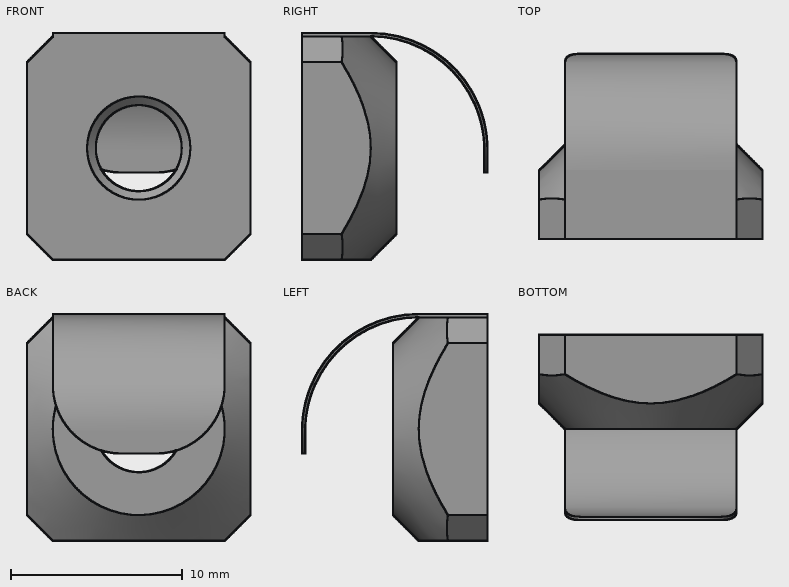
import cadquery as cq

body_size = 13.0
body_depth = 5.5
corner_chamfer = 1.5
back_cone_radius = 5.0

hole_diameter = 5.0
countersink_diameter = 6.0

strip_thickness = 0.2
strip_width = body_size - 2 * corner_chamfer
strip_reach = 10.8
strip_drop = 8.13
bend_radius = 6.8
tip_corner_radius = 4.0


def make_body():
    """Square block with chamfered corners, turned to a cone at the back."""
    block = (
        cq.Workplane("XZ")
        .rect(body_size, body_size)
        .extrude(-body_depth)
        .edges("|Y")
        .chamfer(corner_chamfer)
    )
    front_cone_radius = back_cone_radius + body_depth
    cone = (
        cq.Workplane("XY")
        .moveTo(0, 0)
        .lineTo(front_cone_radius, 0)
        .lineTo(back_cone_radius, body_depth)
        .lineTo(0, body_depth)
        .close()
        .revolve(360, (0, 0, 0), (0, 1, 0))
    )
    return block.intersect(cone)


def make_hole():
    """Through hole including its countersink."""
    hole_radius = hole_diameter / 2
    countersink_radius = countersink_diameter / 2
    countersink_depth = countersink_radius - hole_radius
    return (
        cq.Workplane("XY")
        .lineTo(countersink_radius, 0)
        .lineTo(hole_radius, countersink_depth)
        .lineTo(hole_radius, body_depth)
        .lineTo(0, body_depth)
        .close()
        .revolve(360, (0, 0, 0), (0, 1, 0))
    )


def make_strip():
    """Bent strip whose hanging tip has two large rounded corners."""
    strip_bottom = body_size / 2
    strip_top = strip_bottom + strip_thickness
    bend_y = strip_reach - bend_radius
    bend_z = strip_top - bend_radius
    tip_z = strip_top - strip_drop
    inner_radius = bend_radius - strip_thickness
    diagonal = 0.5 ** 0.5

    bent_strip = (
        cq.Workplane("YZ")
        .moveTo(0, strip_bottom)
        .lineTo(0, strip_top)
        .lineTo(bend_y, strip_top)
        .threePointArc(
            (bend_y + bend_radius * diagonal, bend_z + bend_radius * diagonal),
            (strip_reach, bend_z),
        )
        .lineTo(strip_reach, tip_z)
        .lineTo(strip_reach - strip_thickness, tip_z)
        .lineTo(strip_reach - strip_thickness, bend_z)
        .threePointArc(
            (bend_y + inner_radius * diagonal, bend_z + inner_radius * diagonal),
            (bend_y, strip_bottom),
        )
        .close()
        .extrude(strip_width / 2, both=True)
    )
    outline = (
        cq.Workplane("XZ")
        .center(0, (strip_top + tip_z) / 2)
        .rect(strip_width, strip_drop)
        .extrude(-strip_reach)
        .edges("|Y and <Z")
        .fillet(tip_corner_radius)
    )
    return bent_strip.intersect(outline)


result = make_body().cut(make_hole()).union(make_strip())